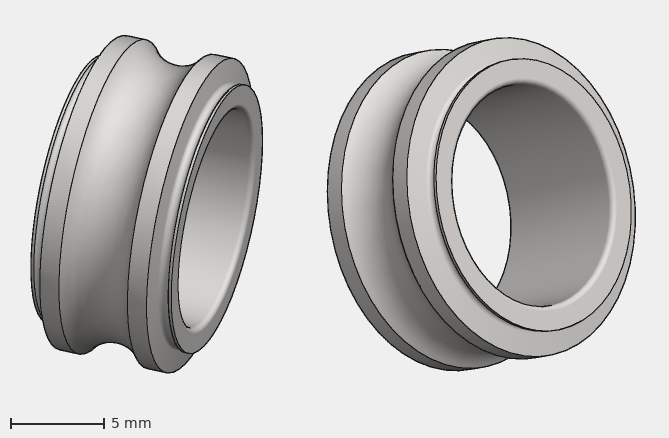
import cadquery as cq
import math

outer_radius = 8.63
bore_radius = 6.0
ring_width = 8.0
bore_edge_radius = 0.3

track_width = 3.9
track_depth = 1.0

rim_width = 6.08
lip_radius = 7.37
lip_width = 0.17

groove_floor_radius = 7.11
groove_arc_radius = 0.3

half_width = ring_width / 2
half_rim = rim_width / 2
half_track = track_width / 2
groove_center_radius = groove_floor_radius + groove_arc_radius
lip_inner_x = half_width - lip_width
lip_rise = groove_center_radius - lip_radius
groove_center_x = lip_inner_x - math.sqrt(groove_arc_radius**2 - lip_rise**2)

edge_dx = half_rim - groove_center_x
edge_dr = outer_radius - groove_center_radius
edge_distance = math.hypot(edge_dx, edge_dr)
tangent_angle = math.atan2(edge_dr, edge_dx) + math.acos(groove_arc_radius / edge_distance)
tangent_x = groove_center_x + groove_arc_radius * math.cos(tangent_angle)
tangent_radius = groove_center_radius + groove_arc_radius * math.sin(tangent_angle)

profile = (
    cq.Workplane("XY")
    .moveTo(-half_width, bore_radius)
    .lineTo(-half_width, lip_radius)
    .lineTo(-lip_inner_x, lip_radius)
    .threePointArc((-groove_center_x, groove_floor_radius), (-tangent_x, tangent_radius))
    .lineTo(-half_rim, outer_radius)
    .lineTo(-half_track, outer_radius)
    .threePointArc((0, outer_radius - track_depth), (half_track, outer_radius))
    .lineTo(half_rim, outer_radius)
    .lineTo(tangent_x, tangent_radius)
    .threePointArc((groove_center_x, groove_floor_radius), (lip_inner_x, lip_radius))
    .lineTo(half_width, lip_radius)
    .lineTo(half_width, bore_radius)
    .close()
)
ring = profile.revolve(360, (0, 0, 0), (1, 0, 0))

bore_edges = cq.selectors.RadiusNthSelector(0)
result = ring.faces("<X or >X").edges(bore_edges).fillet(bore_edge_radius)